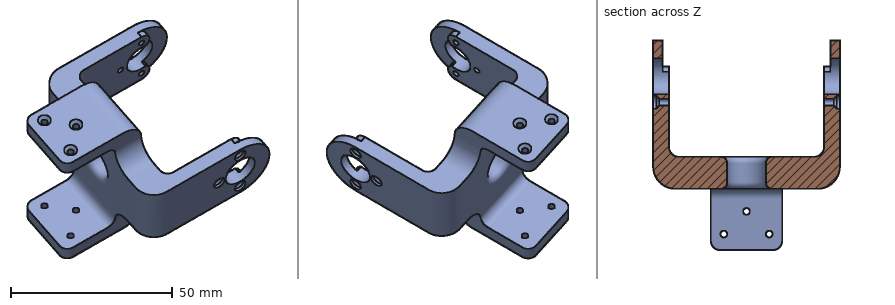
import cadquery as cq

WIDTH = 58.0
LENGTH = 65.0
HEIGHT = 50.0

STRAP_WIDTH = 22.2
STRAP_THICKNESS = 5.0
WEB_THICKNESS = 2 * STRAP_THICKNESS
BEND_OUTER_RADIUS = 7.0
BEND_INNER_RADIUS = 3.0
WEB_CORNER_RADIUS = 6.8
HALF_STRAP = STRAP_WIDTH / 2

PLATE_REACH = 19.0
PLATE_CORNER_RADIUS = 3.0
ARM_TIP_Y = LENGTH - PLATE_REACH
PIVOT_Y = ARM_TIP_Y - HALF_STRAP

BORE_RADIUS = 6.0
BORE_ROUNDING = 2.0
PIVOT_RADIUS = 5.5
SCREW_DIAMETER = 2.0
SCREW_HEAD_DIAMETER = 4.0
COUNTERSINK_ANGLE = 90
ARM_SCREW_HEAD_SINK = 1.0
ARM_SCREW_CIRCLE_RADIUS = 8.0
PLATE_SCREW_EDGE_DISTANCE = 5.0
PLATE_SCREW_OFFSET = 7.0

TIP_THICKNESS = 3.0
PAD_RADIUS = 3.05


def u_bracket(span, reach):
    """U in the XY plane: web from Y = 0 to WEB_THICKNESS, legs running to Y = reach."""
    outer = (
        cq.Workplane("XY")
        .box(span, reach, STRAP_WIDTH, centered=(True, False, True))
        .edges("|Z and <Y").fillet(BEND_OUTER_RADIUS)
    )
    gap = (
        cq.Workplane("XY")
        .box(span - 2 * STRAP_THICKNESS, reach, STRAP_WIDTH, centered=(True, False, True))
        .edges("|Z and <Y").fillet(BEND_INNER_RADIUS)
        .translate((0, WEB_THICKNESS, 0))
    )
    return outer.cut(gap)


def arm_bracket():
    """Bracket with arms pointing to +Y, ends rounded about the pivot axis."""
    side_outline = (
        cq.Workplane("YZ")
        .moveTo(0, -HALF_STRAP)
        .lineTo(PIVOT_Y, -HALF_STRAP)
        .threePointArc((ARM_TIP_Y, 0), (PIVOT_Y, HALF_STRAP))
        .lineTo(0, HALF_STRAP)
        .close()
        .extrude(WIDTH / 2, both=True)
    )
    return u_bracket(WIDTH, ARM_TIP_Y).intersect(side_outline)


def plate_bracket():
    """Bracket with plates pointing to -Y, above and below the web."""
    return (
        u_bracket(HEIGHT, WEB_THICKNESS + PLATE_REACH)
        .rotate((0, 0, 0), (0, 0, 1), 180)
        .rotate((0, 0, 0), (0, 1, 0), 90)
        .translate((0, WEB_THICKNESS, 0))
        .edges("|Z and <Y").fillet(PLATE_CORNER_RADIUS)
    )


def web_corner_fills():
    """Concave fills in the four inside corners where the brackets cross."""
    fill_half = HALF_STRAP + WEB_CORNER_RADIUS
    corners = [(x, z) for x in (-fill_half, fill_half) for z in (-fill_half, fill_half)]
    rounds = (
        cq.Workplane("XZ")
        .pushPoints(corners)
        .circle(WEB_CORNER_RADIUS)
        .extrude(-WEB_THICKNESS)
    )
    return cq.Workplane("XZ").rect(2 * fill_half, 2 * fill_half).extrude(-WEB_THICKNESS).cut(rounds)


def web_bore():
    """Central bore, flared by a rounding at both web faces."""
    flare_radius = BORE_RADIUS + BORE_ROUNDING
    arc_offset = BORE_ROUNDING * (1 - 0.5 ** 0.5)
    return (
        cq.Workplane("XY")
        .lineTo(flare_radius, 0)
        .threePointArc((BORE_RADIUS + arc_offset, arc_offset), (BORE_RADIUS, BORE_ROUNDING))
        .lineTo(BORE_RADIUS, WEB_THICKNESS - BORE_ROUNDING)
        .threePointArc(
            (BORE_RADIUS + arc_offset, WEB_THICKNESS - arc_offset),
            (flare_radius, WEB_THICKNESS),
        )
        .lineTo(0, WEB_THICKNESS)
        .close()
        .revolve(360, (0, 0, 0), (0, 1, 0))
    )


def tip_recess():
    """Recess for both arm inner faces beyond the pivot axis, less the screw pads."""
    recess_width = WIDTH - 2 * TIP_THICKNESS
    pads = (
        cq.Workplane("YZ")
        .pushPoints([(PIVOT_Y, -ARM_SCREW_CIRCLE_RADIUS), (PIVOT_Y, ARM_SCREW_CIRCLE_RADIUS)])
        .circle(PAD_RADIUS)
        .extrude(recess_width / 2, both=True)
    )
    return (
        cq.Workplane("XY")
        .box(recess_width, HALF_STRAP, STRAP_WIDTH, centered=(True, False, True))
        .translate((0, PIVOT_Y, 0))
        .cut(pads)
    )


def drill_screws(body, outer_face, points, head_sink=0):
    """Countersunk screw holes from an outer face, each head set head_sink below it."""
    if head_sink > 0:
        head_bores = outer_face.pushPoints(points).circle(SCREW_HEAD_DIAMETER / 2).extrude(-head_sink)
        body = body.cut(head_bores)
    return (
        body.copyWorkplane(outer_face.workplane(offset=-head_sink))
        .pushPoints(points)
        .cskHole(SCREW_DIAMETER, SCREW_HEAD_DIAMETER, COUNTERSINK_ANGLE, STRAP_THICKNESS)
    )


body = arm_bracket().union(plate_bracket()).union(web_corner_fills())
body = body.cut(web_bore())

body = body.cut(tip_recess())
pivot_hole = (
    cq.Workplane("YZ")
    .center(PIVOT_Y, 0)
    .circle(PIVOT_RADIUS)
    .extrude(WIDTH / 2, both=True)
)
body = body.cut(pivot_hole)

for side in (-1, 1):
    arm_face = cq.Workplane(
        cq.Plane(origin=(side * WIDTH / 2, PIVOT_Y, 0), xDir=(0, side, 0), normal=(side, 0, 0))
    )
    arm_screws = [
        (0, ARM_SCREW_CIRCLE_RADIUS),
        (0, -ARM_SCREW_CIRCLE_RADIUS),
        (-side * ARM_SCREW_CIRCLE_RADIUS, 0),
    ]
    body = drill_screws(body, arm_face, arm_screws, ARM_SCREW_HEAD_SINK)

plate_screw_y = PLATE_SCREW_EDGE_DISTANCE - PLATE_REACH
for side in (-1, 1):
    plate_face = cq.Workplane(
        cq.Plane(origin=(0, plate_screw_y, side * HEIGHT / 2), xDir=(1, 0, 0), normal=(0, 0, side))
    )
    plate_screws = [
        (-PLATE_SCREW_OFFSET, 0),
        (PLATE_SCREW_OFFSET, 0),
        (0, side * PLATE_SCREW_OFFSET),
    ]
    body = drill_screws(body, plate_face, plate_screws)

result = body